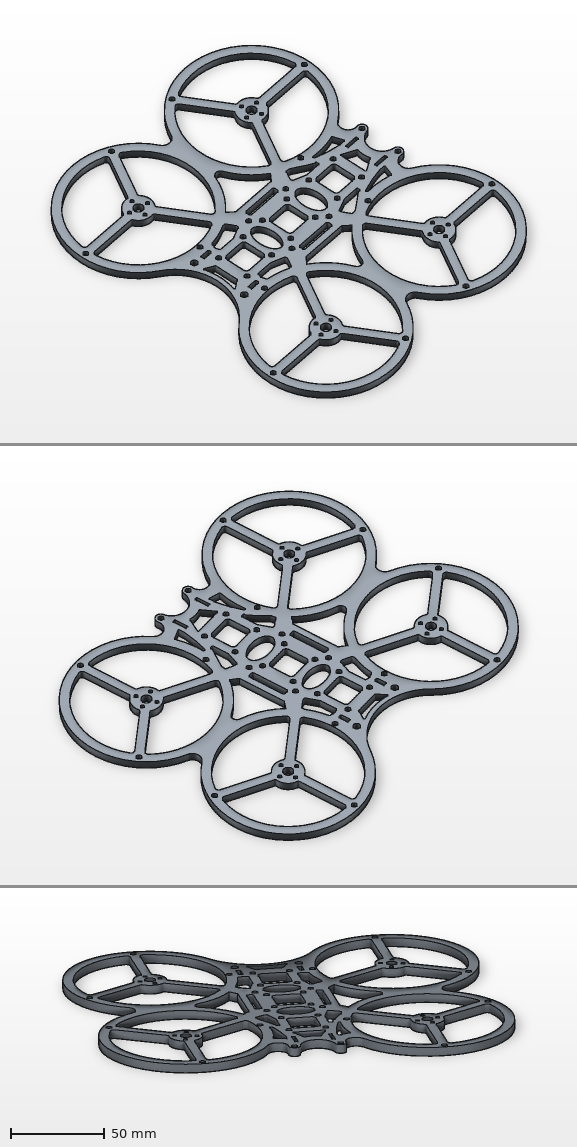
import cadquery as cq
import math

length_x = 225.7
length_y = 186.5
thickness = 5.0

ring_radius = 46.7
ring_bore_radius = 41.0
ring_x = length_x / 2 - ring_radius
ring_y = length_y / 2 - ring_radius
ring_center = (ring_x, ring_y)
rear_ring_center = (ring_x, -ring_y)
rim_hole_circle = 43.3
spoke_width = 5.5
spoke_count = 3
spoke_pitch = 360 / spoke_count
first_spoke = 90
last_spoke = first_spoke - spoke_pitch
spoke_rim_fillet = 2.0
spoke_hub_fillet = 1.1

hub_radius = 9.0
shaft_hole = 5.9
motor_hole = 2.2
motor_hole_count = 4
motor_hole_circle = 12.0 / 2
motor_hole_tilt = 14

side_blend_radius = 5.2
ear_x = 12.6
ear_y = 75.0
ear_radius = 3.2
ear_side_blend_radius = 5.6
front_edge_y = 67.3
rear_edge_y = -59.0

window_wall_x = 24.8
window_wall_half = 14.7
window_bevel = 3.8
window_blend_radius = 3.2

screw_hole = 3.2
rear_hole = 4.0
stack_pitch = 20.0
stack_centers = (38.1, 0, -36.0)
stack_window = 16.0
stack_window_fillet = 2.3
frame_pitch = 30.5
guard_wall_radius = 47.0
front_rail = 6.0
rear_rail = 3.0
pocket_fillet = 0.5

guard_hole_tilt = 12
rear_hole_x = 17.5
rear_hole_y = -57.0
strap_x = 10.2
strap_y = 63.9
strap_size = (1.8, 8.5)
rear_slot_x = 16.7
rear_slot_y = -48.3
rear_slot_size = (2.5, 6.3)
side_slot_x = 19.0
side_slot_size = (3.8, 23.5)
side_slot_fillet = 1.1
rear_slot_fillet = 1.0
oval_width = 20.5
front_oval_y = 18.5
front_oval_height = 12.0
rear_oval_y = -18.0
rear_oval_height = 11.3

front_base_y = 52.8
front_base_half = 9.3
front_end_half = 4.5
rear_base_y = -51.2
rear_base_half = 7.7
rear_end_half = 11.5

pocket_inner_x = 13.3
front_pocket_y = (42.0, 60.0)
front_pocket_inner = [(14.0, 62.5), (14.0, 58.5), (15.5, 50.0), (18.0, 42.0)]
rear_pocket_y = (-40.6, -27.0)
waist_shoulder_y = 30.2
waist_end = [(16.5, 22.1), (18.0, 22.1), (23.5, 25.0)]
waist_pocket = [
    (15.5, 40.6),
    (pocket_inner_x, 40.6),
    (pocket_inner_x, waist_shoulder_y),
    *waist_end,
    (23.0, 27.8),
    (17.4, 36.3),
    (15.5, 39.3),
]
rear_pocket_inner = [
    *[(x, -y) for x, y in reversed(waist_end)],
    (pocket_inner_x, -waist_shoulder_y),
    (pocket_inner_x, -40.9),
    (16.0, -41.8),
]


def polar(center, radius, angle):
    a = math.radians(angle)
    return (center[0] + radius * math.cos(a), center[1] + radius * math.sin(a))


def toward(start, end, distance):
    """Point at a distance from start on the line to end."""
    span = math.dist(start, end)
    return tuple(s + (e - s) * distance / span for s, e in zip(start, end))


def circle_meet(c1, r1, c2, r2):
    """Crossing of two circles that lies to the left of the line from c1 to c2."""
    span = math.dist(c1, c2)
    along = (r1**2 - r2**2 + span**2) / (2 * span)
    across = math.sqrt(r1**2 - along**2)
    ux = (c2[0] - c1[0]) / span
    uy = (c2[1] - c1[1]) / span
    return (c1[0] + along * ux - across * uy, c1[1] + along * uy + across * ux)


def edge_blend_radius(center, radius, edge_y, side):
    """Radius of an arc centred on X = 0 that touches edge_y and a circle; side is +1 or -1 along Y."""
    rise = side * (center[1] - edge_y)
    return (center[0] ** 2 + rise**2 - radius**2) / (2 * (radius + rise))


def on_circle_x(center, radius, y):
    """X on the inner (body) side of a circle at a given Y."""
    return center[0] - math.sqrt(radius**2 - (y - center[1]) ** 2)


def prism(sketch):
    return sketch.close().extrude(thickness)


def rounded(sketch, radius):
    return prism(sketch).edges("|Z").fillet(radius)


def both_sides(shape):
    return shape.union(shape.mirror("YZ"))


def holes(points, diameter):
    return cq.Workplane().pushPoints(points).circle(diameter / 2).extrude(thickness)


def mirrored_points(x, ys):
    return [(sx * x, y) for sx in (-1, 1) for y in ys]


ear_center = (ear_x, ear_y)
front_arc_radius = edge_blend_radius(ear_center, ear_radius, front_edge_y, 1)
front_arc_center = (0, front_edge_y + front_arc_radius)
rear_arc_radius = edge_blend_radius(rear_ring_center, ring_radius, rear_edge_y, -1)
rear_arc_center = (0, rear_edge_y - rear_arc_radius)


def half_outline():
    ear_blend = circle_meet(
        ear_center,
        ear_radius + ear_side_blend_radius,
        ring_center,
        ring_radius + ear_side_blend_radius,
    )
    side_reach = math.sqrt((ring_radius + side_blend_radius) ** 2 - ring_y**2)
    side_blend = (ring_x + side_reach, 0)
    front_mid_x = ear_x / 3
    front_mid = (front_mid_x, front_arc_center[1] - math.sqrt(front_arc_radius**2 - front_mid_x**2))
    rear_mid_x = ear_x / 2
    rear_mid = (rear_mid_x, rear_arc_center[1] + math.sqrt(rear_arc_radius**2 - rear_mid_x**2))
    return prism(
        cq.Workplane()
        .moveTo(0, front_edge_y)
        .threePointArc(front_mid, toward(front_arc_center, ear_center, front_arc_radius))
        .threePointArc((ear_x, ear_y + ear_radius), toward(ear_center, ear_blend, ear_radius))
        .threePointArc(
            (ear_blend[0], ear_blend[1] - ear_side_blend_radius),
            toward(ring_center, ear_blend, ring_radius),
        )
        .threePointArc((ring_x + ring_radius, ring_y), toward(ring_center, side_blend, ring_radius))
        .threePointArc(
            (side_blend[0] - side_blend_radius, 0),
            toward(rear_ring_center, side_blend, ring_radius),
        )
        .threePointArc(
            (ring_x + ring_radius, -ring_y),
            toward(rear_ring_center, rear_arc_center, ring_radius),
        )
        .threePointArc(rear_mid, (0, rear_edge_y))
    )


def spoke_opening():
    """Opening between the last spoke and the first, rounded at its four corners."""
    half = spoke_width / 2
    mid_angle = first_spoke - spoke_pitch / 2

    def corner(radius, side):
        lean = math.degrees(math.asin(half / radius))
        return polar((0, 0), radius, mid_angle + side * (spoke_pitch / 2 - lean))

    opening = prism(
        cq.Workplane()
        .moveTo(*corner(hub_radius, -1))
        .lineTo(*corner(ring_bore_radius, -1))
        .threePointArc(polar((0, 0), ring_bore_radius, mid_angle), corner(ring_bore_radius, 1))
        .lineTo(*corner(hub_radius, 1))
        .threePointArc(polar((0, 0), hub_radius, mid_angle), corner(hub_radius, -1))
    )
    for radius, fillet in ((ring_bore_radius, spoke_rim_fillet), (hub_radius, spoke_hub_fillet)):
        for side in (-1, 1):
            edge_point = (*corner(radius, side), thickness / 2)
            opening = opening.edges(cq.selectors.NearestToPointSelector(edge_point)).fillet(fillet)
    return opening


def rotor_cuts():
    center = (0, 0)
    cuts = holes([center], shaft_hole)
    motor_points = [
        polar(center, motor_hole_circle, 360 * i / motor_hole_count - motor_hole_tilt)
        for i in range(motor_hole_count)
    ]
    cuts = cuts.union(holes(motor_points, motor_hole))
    rim_points = [polar(center, rim_hole_circle, a) for a in (first_spoke, last_spoke)]
    cuts = cuts.union(holes(rim_points, screw_hole))
    opening = spoke_opening()
    for i in range(spoke_count):
        cuts = cuts.union(opening.rotate((0, 0, 0), (0, 0, 1), spoke_pitch * i))
    return cuts.translate((*ring_center, 0))


def side_window():
    """Opening between the rings and the wall of the central body."""
    reach = math.sqrt((ring_radius + window_blend_radius) ** 2 - ring_y**2)
    blend = (ring_x - reach, 0)
    tip_y = window_wall_half + window_bevel
    tip_x = on_circle_x(ring_center, ring_radius, tip_y)
    blend_front = toward(ring_center, blend, ring_radius)
    blend_rear = toward(rear_ring_center, blend, ring_radius)
    arc_y = (tip_y + blend_front[1]) / 2
    arc_x = on_circle_x(ring_center, ring_radius, arc_y)
    return prism(
        cq.Workplane()
        .moveTo(window_wall_x, -window_wall_half)
        .lineTo(window_wall_x, window_wall_half)
        .lineTo(tip_x, tip_y)
        .threePointArc((arc_x, arc_y), blend_front)
        .threePointArc((blend[0] + window_blend_radius, 0), blend_rear)
        .threePointArc((arc_x, -arc_y), (tip_x, -tip_y))
    )


def body_holes():
    half = stack_pitch / 2
    points = [p for y in stack_centers for p in mirrored_points(half, (y - half, y + half))]
    points += mirrored_points(frame_pitch / 2, (-frame_pitch / 2, frame_pitch / 2))
    points += mirrored_points(ear_x, (ear_y,))
    for center, angle in ((ring_center, 180 + guard_hole_tilt), (rear_ring_center, 180)):
        x, y = polar(center, rim_hole_circle, angle)
        points += mirrored_points(x, (y,))
    rear_holes = holes(mirrored_points(rear_hole_x, (rear_hole_y,)), rear_hole)
    return holes(points, screw_hole).union(rear_holes)


def stack_windows():
    windows = cq.Workplane().pushPoints([(0, y) for y in stack_centers])
    windows = windows.rect(stack_window, stack_window).extrude(thickness)
    return windows.edges("|Z").fillet(stack_window_fillet)


def ovals():
    front = cq.Workplane().center(0, front_oval_y).ellipse(oval_width / 2, front_oval_height / 2)
    rear = cq.Workplane().center(0, rear_oval_y).ellipse(oval_width / 2, rear_oval_height / 2)
    return front.extrude(thickness).union(rear.extrude(thickness))


def slots():
    straps = cq.Workplane().center(strap_x, strap_y).rect(*strap_size).extrude(thickness)
    rear = cq.Workplane().center(rear_slot_x, rear_slot_y).rect(*rear_slot_size).extrude(thickness)
    rear = rear.edges("|Z and >Y").fillet(rear_slot_fillet)
    side = cq.Workplane().center(side_slot_x, 0).rect(*side_slot_size).extrude(thickness)
    side = side.edges("|Z").fillet(side_slot_fillet)
    return straps.union(rear).union(side)


def middle_pocket(base_y, base_half, end_half, arc_center, arc_radius, side):
    """Pocket with a straight edge at base_y and an end curved parallel to the outline."""
    end_y = arc_center[1] - side * math.sqrt(arc_radius**2 - end_half**2)
    return rounded(
        cq.Workplane()
        .moveTo(-base_half, base_y)
        .lineTo(base_half, base_y)
        .lineTo(end_half, end_y)
        .threePointArc((0, arc_center[1] - side * arc_radius), (-end_half, end_y)),
        pocket_fillet,
    )


def guard_pocket(center, start_y, end_y, inner_points):
    """Pocket with one wall concentric with a ring and the rest straight."""
    mid_y = (start_y + end_y) / 2
    start, middle, end = [(on_circle_x(center, guard_wall_radius, y), y) for y in (start_y, mid_y, end_y)]
    return rounded(
        cq.Workplane().moveTo(*start).threePointArc(middle, end).polyline(inner_points, includeCurrent=True),
        pocket_fillet,
    )


def side_pockets():
    front = guard_pocket(ring_center, *front_pocket_y, front_pocket_inner)
    rear = guard_pocket(rear_ring_center, *rear_pocket_y, rear_pocket_inner)
    waist = rounded(cq.Workplane().polyline(waist_pocket), pocket_fillet)
    return front.union(rear).union(waist)


front_pocket = middle_pocket(
    front_base_y, front_base_half, front_end_half, front_arc_center, front_arc_radius + front_rail, 1
)
rear_pocket = middle_pocket(
    rear_base_y, rear_base_half, rear_end_half, rear_arc_center, rear_arc_radius + rear_rail, -1
)

result = both_sides(half_outline())
rotor = both_sides(rotor_cuts())
result = result.cut(rotor).cut(rotor.mirror("XZ"))
result = result.cut(both_sides(side_window()))
result = result.cut(body_holes()).cut(stack_windows()).cut(ovals())
result = result.cut(both_sides(slots())).cut(both_sides(side_pockets()))
result = result.cut(front_pocket).cut(rear_pocket).clean()